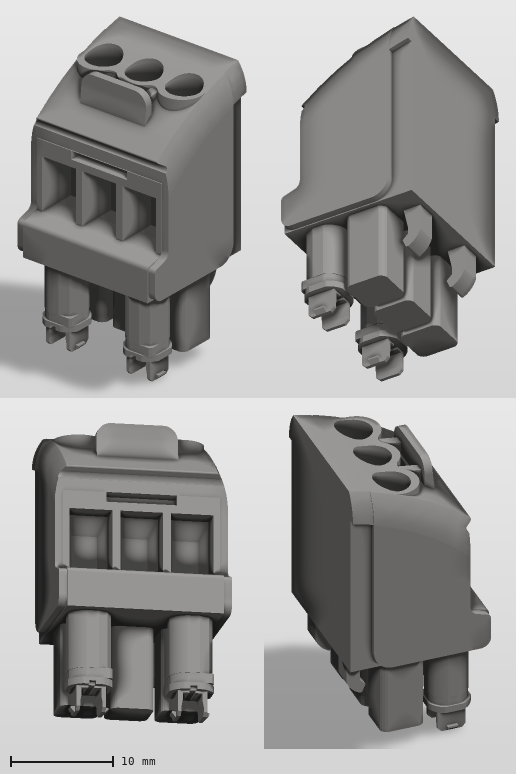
import cadquery as cq
import math


WIDTH = 17.15
HALF_WIDTH = WIDTH / 2
POLE_PITCH = 5.0
POLES = (-POLE_PITCH, 0, POLE_PITCH)
OUTER_POLES = (-POLE_PITCH, POLE_PITCH)
TOP_Z = 20.67
LOWEST_Z = -9.9

FRONT_DEPTH = 14.5
FACE_DEPTH = 12.25
CROWN_RADIUS = 29.23
LIP_DEPTH = 12.65
LIP_Z = 14.7
LIP_NOSE = ((12.72, 14.6), (12.63, 14.45))
GROOVE_START = (12.1, 14.15)
GROOVE_MIDDLE = (12.0, 13.88)
FACE_TOP_Z = 13.45
HOLLOW_TOP_Z = 5.08
HOLLOW = ((12.4, 4.6), (12.75, 4.25))
INSERT_HALF_WIDTH = 7.77
STEP = 0.107
CAP_HALF_WIDTH = HALF_WIDTH - STEP
CAP_BACK_DEPTH = 3.05
SIDE_BACK_DEPTH = 2.17
SIDE_BACK_RADIUS = 2.0
SIDE_FRONT_RADIUS = 1.07
SHOULDER_TOP_HALF_WIDTH = 7.5
SHOULDER_HEIGHT = 3.1

PANEL_TOP_Z = 12.23
PANEL_DEPTH = FACE_DEPTH + STEP
LEDGE_BACK_Z = 4.35
LEDGE_FRONT_Z = 3.95
LEDGE_ROUND_LENGTH = 0.37
LEDGE_ROUND_DROP = 0.5
LEDGE_ROUND_MIDDLE = (0.1, 0.18)
ENTRY_MOUTH = (4.22, LEDGE_BACK_Z, 10.43)
ENTRY_THROAT = (2.55, 5.05, 8.6)
ENTRY_STRAIGHT_LENGTH = 2.5
ENTRY_TAPER_LENGTH = 0.92
SLOT_HALF_WIDTH = 3.5
SLOT_BOTTOM_Z = 11.25
SLOT_CEILING_DROP = 0.2
SLOT_LENGTH = 1.07

WELL_DEPTH = 5.38
WELL_RADIUS = 1.9
WELL_FLOOR_Z = 16.88
RIM_Z = 19.08
RIM_DEPTH = 5.72
RIM_RADIUS = 2.42
RIM_VALLEY_RADIUS = 0.92
RIM_ROOT_Z = 15.9
BLEND_START_DEPTH = 4.85
BLEND_END_DEPTH = 5.93

LEVER_HALF_WIDTH = 4.05
LEVER_BACK_DEPTH = 9.25
LEVER_FRONT_DEPTH = 10.1
LEVER_FOOT_DEPTH = 10.45
LEVER_TOP_Z = 19.85
LEVER_BEND_TOP_Z = 18.65
LEVER_BEND_BOTTOM_Z = 18.05
LEVER_CORNER_RADIUS = 1.47
LEVER_ROOT_Z = 15.3
ARM_INNER_X = 2.17
ARM_OUTER_X = 3.15
ARM_BACK_DEPTH = 6.73
ARM_BACK_Z = 18.85
ARM_FRONT_Z = 18.47
POCKET_HALF_WIDTH = 2.05
POCKET_FRONT_DEPTH = 8.87
POCKET_BACK_DEPTH = 7.03
POCKET_FLOOR_Z = 16.05

BLOCK_WIDTH = 4.25
BLOCK_BACK_DEPTH = 3.58
BLOCK_FRONT_DEPTH = 8.07
BLOCK_BOTTOM_Z = -8.25
BLOCK_CORNER = ((0, 0.58), (0.12, 0.35), (0.35, 0.12), (0.58, 0))

PIN_DEPTH = 11.1
PIN_SECTIONS = (
    (2.1, 0.6, 0.0, -5.75, [(1.6, 1.6)]),
    (2.05, 0.6, -5.75, -6.73, [(1.8, 2.05), (2.05, 1.8)]),
    (2.2, 0.95, -6.73, -7.43, [(1.15, 2.1), (1.68, 1.75), (2.05, 1.3)]),
)
PRONG_TOP_Z = -7.43
PRONG_OUTER_X = 1.47
PRONG_INNER_X = 0.98
PRONG_TIP_INNER_X = 1.1
PRONG_HALF_LENGTH = 1.47
PRONG_CORNER = 0.4
PRONG_SLOT_HALF_WIDTH = 0.3
PRONG_WEB = 0.2
PRONG_TAPER_START_Z = -8.4
PRONG_TAPER_END_Z = -9.02
BARB_X = 1.87
BARB_TOP_Z = -9.33
BARB_EDGE_Z = -9.5
BARB_HALF_LENGTH = 0.55
COLLAR_NOTCH_HALF_WIDTH = 0.35
COLLAR_NOTCH_HEIGHT = 0.35
COLLAR_NOTCH_LENGTH = 0.6

HOOK_X = 4.1
HOOK_HALF_WIDTH = 1.07
HOOK_BACK_DEPTH = 0.6
HOOK_HEEL_Z = -2.8
HOOK_HEEL = ((1.05, -3.6), (1.9, -4.3))
HOOK_TIP = ((2.08, -4.37), (2.25, -4.3))
HOOK_BARB = (2.63, -3.5)
HOOK_THROAT_DEPTH = 2.02
HOOK_THROAT_Z = (-2.9, -2.15)
HOOK_FRONT_DEPTH = 2.5

chord_length = math.hypot(LIP_DEPTH, TOP_Z - LIP_Z)
chord_slope = math.atan2(TOP_Z - LIP_Z, LIP_DEPTH)
back_slope = chord_slope - math.asin(chord_length / 2 / CROWN_RADIUS)
crown_depth = -CROWN_RADIUS * math.sin(back_slope)
crown_z = TOP_Z - CROWN_RADIUS * math.cos(back_slope)


def crown_height(depth):
    """Height of the crown surface at a given depth."""
    return crown_z + math.sqrt(CROWN_RADIUS**2 - (depth - crown_depth) ** 2)


def side_plane(x=0.0):
    """Sketch plane across X whose axes are depth and height."""
    return cq.Workplane(cq.Plane((x, 0, 0), xDir=(0, -1, 0), normal=(-1, 0, 0)))


def front_plane(depth):
    """Sketch plane facing forward whose axes are X and height."""
    return cq.Workplane("XZ", origin=(0, -depth, 0))


def box(x_range, depth_range, z_range):
    """Block between the given limits."""
    size_x = x_range[1] - x_range[0]
    size_y = depth_range[1] - depth_range[0]
    size_z = z_range[1] - z_range[0]
    corner = (x_range[0], -depth_range[1], z_range[0])
    return cq.Workplane("XY", origin=corner).box(size_x, size_y, size_z, centered=False)


def crowned_profile(half_width, back, bottom, front):
    """Side outline with the crown, the lip and the set-back foot ledge."""
    middle = LIP_DEPTH / 2
    ledge_front_z = LEDGE_FRONT_Z - STEP
    return (
        side_plane()
        .moveTo(back, bottom)
        .lineTo(back, crown_height(back))
        .threePointArc((middle, crown_height(middle)), (LIP_DEPTH, LIP_Z))
        .threePointArc(*LIP_NOSE)
        .lineTo(*GROOVE_START)
        .threePointArc(GROOVE_MIDDLE, (FACE_DEPTH, FACE_TOP_Z))
        .lineTo(FACE_DEPTH, HOLLOW_TOP_Z)
        .threePointArc(*HOLLOW)
        .lineTo(front - LEDGE_ROUND_LENGTH, ledge_front_z)
        .threePointArc(
            (front - LEDGE_ROUND_MIDDLE[0], ledge_front_z - LEDGE_ROUND_MIDDLE[1]),
            (front, ledge_front_z - LEDGE_ROUND_DROP),
        )
        .lineTo(front, bottom)
        .close()
        .extrude(half_width, both=True)
    )


def make_housing():
    side_front = FRONT_DEPTH - STEP
    core = crowned_profile(INSERT_HALF_WIDTH, 0, 0, side_front)
    sides = crowned_profile(HALF_WIDTH, SIDE_BACK_DEPTH, STEP, side_front)
    sides = sides.faces("<Z").edges(">Y").fillet(SIDE_BACK_RADIUS)
    sides = sides.faces("<Z").edges("<Y").fillet(SIDE_FRONT_RADIUS)
    back = core.union(make_cap()).intersect(make_shoulder_envelope(STEP))
    front = sides.union(make_insert_front()).intersect(make_shoulder_envelope(0))
    return back.union(front).cut(make_ledge_clearance())


def make_cap():
    """Wide band under the crown along the back, reaching down as far as the shoulders."""
    slab = box((-CAP_HALF_WIDTH, CAP_HALF_WIDTH), (0, CAP_BACK_DEPTH), (0, TOP_Z))
    crown_core = (
        side_plane()
        .center(crown_depth, crown_z)
        .circle(CROWN_RADIUS - SHOULDER_HEIGHT)
        .extrude(HALF_WIDTH, both=True)
    )
    crowned = crowned_profile(CAP_HALF_WIDTH, 0, 0, FRONT_DEPTH)
    return slab.cut(crown_core).intersect(crowned)


def make_insert_front():
    """Front panel and foot ledge, standing slightly proud of the side walls."""
    inside = PANEL_DEPTH - SLOT_LENGTH
    return (
        side_plane()
        .moveTo(inside, 0)
        .lineTo(inside, PANEL_TOP_Z)
        .lineTo(PANEL_DEPTH, PANEL_TOP_Z)
        .lineTo(PANEL_DEPTH, LEDGE_BACK_Z)
        .lineTo(FRONT_DEPTH - LEDGE_ROUND_LENGTH, LEDGE_FRONT_Z)
        .threePointArc(
            (FRONT_DEPTH - LEDGE_ROUND_MIDDLE[0], LEDGE_FRONT_Z - LEDGE_ROUND_MIDDLE[1]),
            (FRONT_DEPTH, LEDGE_FRONT_Z - LEDGE_ROUND_DROP),
        )
        .lineTo(FRONT_DEPTH, 0)
        .close()
        .extrude(INSERT_HALF_WIDTH, both=True)
    )


def make_ledge_clearance():
    """Open space over the foot ledge, in front of the panel."""
    return (
        side_plane()
        .moveTo(PANEL_DEPTH, LEDGE_BACK_Z)
        .lineTo(PANEL_DEPTH, PANEL_TOP_Z)
        .lineTo(FRONT_DEPTH, PANEL_TOP_Z)
        .lineTo(FRONT_DEPTH - LEDGE_ROUND_LENGTH, LEDGE_FRONT_Z)
        .close()
        .extrude(INSERT_HALF_WIDTH, both=True)
    )


def make_shoulder_envelope(inset):
    """Barrel around the crown centre whose rims round off both shoulders."""
    side_x = HALF_WIDTH - inset
    top_x = SHOULDER_TOP_HALF_WIDTH - inset
    crest = crown_z + CROWN_RADIUS
    drop = side_x - top_x
    arc_radius = (drop**2 + SHOULDER_HEIGHT**2) / (2 * drop)
    half_angle = math.asin(SHOULDER_HEIGHT / arc_radius) / 2
    mid_x = side_x - arc_radius * (1 - math.cos(half_angle))
    mid_z = crest - SHOULDER_HEIGHT + arc_radius * math.sin(half_angle)
    return (
        front_plane(crown_depth)
        .moveTo(-side_x, crown_z)
        .lineTo(-side_x, crest - SHOULDER_HEIGHT)
        .threePointArc((-mid_x, mid_z), (-top_x, crest))
        .lineTo(top_x, crest)
        .threePointArc((mid_x, mid_z), (side_x, crest - SHOULDER_HEIGHT))
        .lineTo(side_x, crown_z)
        .close()
        .revolve(360, (0, crown_z, 0), (1, crown_z, 0))
    )


def make_wire_entry(x):
    """Straight rectangular wire entry ending in a tapered funnel."""
    mouth_width, mouth_bottom, mouth_top = ENTRY_MOUTH
    throat_width, throat_bottom, throat_top = ENTRY_THROAT
    mouth_z = (mouth_bottom + mouth_top) / 2
    throat_z = (throat_bottom + throat_top) / 2
    funnel_depth = PANEL_DEPTH - ENTRY_STRAIGHT_LENGTH
    straight = box(
        (x - mouth_width / 2, x + mouth_width / 2),
        (funnel_depth, PANEL_DEPTH),
        (mouth_bottom, mouth_top),
    )
    funnel = (
        front_plane(funnel_depth)
        .center(x, mouth_z)
        .rect(mouth_width, mouth_top - mouth_bottom)
        .workplane(offset=-ENTRY_TAPER_LENGTH)
        .center(0, throat_z - mouth_z)
        .rect(throat_width, throat_top - throat_bottom)
        .loft(ruled=True)
    )
    return straight.union(funnel)


def make_marker_slot():
    back = PANEL_DEPTH - SLOT_LENGTH
    return (
        side_plane()
        .polyline(
            [
                (PANEL_DEPTH, SLOT_BOTTOM_Z),
                (PANEL_DEPTH, PANEL_TOP_Z),
                (back, PANEL_TOP_Z - SLOT_CEILING_DROP),
                (back, SLOT_BOTTOM_Z),
            ]
        )
        .close()
        .extrude(SLOT_HALF_WIDTH, both=True)
    )


def vertical_cylinder(x, depth, radius, z_range):
    base = cq.Workplane("XY", origin=(x, -depth, z_range[0]))
    return base.circle(radius).extrude(z_range[1] - z_range[0])


def make_rims():
    """Scalloped rim around the front of the screw wells, with rounded valleys."""
    heights = (RIM_ROOT_Z, RIM_Z)
    reach = RIM_RADIUS + RIM_VALLEY_RADIUS
    valley_x = POLE_PITCH / 2
    valley_offset = math.sqrt(reach**2 - valley_x**2)
    touch_depth = RIM_DEPTH + RIM_RADIUS * valley_offset / reach
    rims = box((-POLE_PITCH, POLE_PITCH), (RIM_DEPTH, touch_depth), heights)
    for x in (-valley_x, valley_x):
        rims = rims.cut(vertical_cylinder(x, RIM_DEPTH + valley_offset, RIM_VALLEY_RADIUS, heights))
    for x in POLES:
        rims = rims.union(vertical_cylinder(x, RIM_DEPTH, RIM_RADIUS, heights))
    return rims


def make_rim_blend():
    """Concave strip that eases the crown into the flat rim."""
    start_z = crown_height(BLEND_START_DEPTH)
    middle_depth = (BLEND_START_DEPTH + BLEND_END_DEPTH) / 2
    middle_z = RIM_Z + (start_z - RIM_Z) / 4
    return (
        side_plane()
        .moveTo(BLEND_START_DEPTH, RIM_ROOT_Z)
        .lineTo(BLEND_START_DEPTH, start_z)
        .threePointArc((middle_depth, middle_z), (BLEND_END_DEPTH, RIM_Z))
        .lineTo(BLEND_END_DEPTH, RIM_ROOT_Z)
        .close()
        .extrude(POLE_PITCH + RIM_RADIUS, both=True)
    )


def make_lever():
    """Finger plate with rounded top corners and a foot that flares forward."""
    bend_z = (LEVER_BEND_TOP_Z + LEVER_BEND_BOTTOM_Z) / 2
    flare = (LEVER_FOOT_DEPTH - LEVER_FRONT_DEPTH) / (bend_z - LEVER_ROOT_Z)
    bend_offset = flare * (bend_z - LEVER_BEND_BOTTOM_Z)
    plate = (
        side_plane()
        .moveTo(LEVER_BACK_DEPTH, LEVER_ROOT_Z)
        .lineTo(LEVER_BACK_DEPTH, LEVER_TOP_Z)
        .lineTo(LEVER_FRONT_DEPTH, LEVER_TOP_Z)
        .lineTo(LEVER_FRONT_DEPTH, LEVER_BEND_TOP_Z)
        .threePointArc(
            (LEVER_FRONT_DEPTH + bend_offset / 4, bend_z),
            (LEVER_FRONT_DEPTH + bend_offset, LEVER_BEND_BOTTOM_Z),
        )
        .lineTo(LEVER_FOOT_DEPTH, LEVER_ROOT_Z)
        .close()
        .extrude(LEVER_HALF_WIDTH, both=True)
    )
    return plate.faces(">Z").edges("|Y").fillet(LEVER_CORNER_RADIUS)


def make_lever_arm(side):
    """Arm joining the lever to the rim on one side."""
    return (
        side_plane(side * (ARM_INNER_X + ARM_OUTER_X) / 2)
        .polyline(
            [
                (ARM_BACK_DEPTH, LEVER_ROOT_Z),
                (ARM_BACK_DEPTH, ARM_BACK_Z),
                (LEVER_BACK_DEPTH, ARM_FRONT_Z),
                (LEVER_BACK_DEPTH, LEVER_ROOT_Z),
            ]
        )
        .close()
        .extrude((ARM_OUTER_X - ARM_INNER_X) / 2, both=True)
    )


def make_lever_pocket():
    """Pocket behind the lever with a floor that falls toward the front."""
    return (
        side_plane()
        .polyline(
            [
                (POCKET_BACK_DEPTH, crown_height(POCKET_BACK_DEPTH)),
                (POCKET_FRONT_DEPTH, TOP_Z),
                (POCKET_FRONT_DEPTH, POCKET_FLOOR_Z),
            ]
        )
        .close()
        .extrude(POCKET_HALF_WIDTH, both=True)
    )


def make_contact_block(x):
    half_width = BLOCK_WIDTH / 2
    half_depth = (BLOCK_FRONT_DEPTH - BLOCK_BACK_DEPTH) / 2
    corner = [(half_width - u, half_depth - v) for u, v in BLOCK_CORNER]
    half_outline = [(u, -v) for u, v in reversed(corner)] + corner
    outline = half_outline + [(-u, -v) for u, v in half_outline]
    return (
        cq.Workplane("XY", origin=(x, -BLOCK_BACK_DEPTH - half_depth, BLOCK_BOTTOM_Z))
        .polyline(outline)
        .close()
        .extrude(-BLOCK_BOTTOM_Z)
    )


def make_pin_section(x, half_width, half_flat, top, bottom, corner_points):
    """Round section with four flats and one faceted corner at its front right."""
    diagonal = math.hypot(half_width, half_flat) * math.sqrt(0.5)
    corner_points = [(u, -v) for u, v in corner_points]
    return (
        cq.Workplane("XY", origin=(x, -PIN_DEPTH, bottom))
        .moveTo(-half_flat, -half_width)
        .lineTo(half_flat, -half_width)
        .polyline(corner_points, includeCurrent=True)
        .lineTo(half_width, -half_flat)
        .lineTo(half_width, half_flat)
        .threePointArc((diagonal, diagonal), (half_flat, half_width))
        .lineTo(-half_flat, half_width)
        .threePointArc((-diagonal, diagonal), (-half_width, half_flat))
        .lineTo(-half_width, -half_flat)
        .threePointArc((-diagonal, -diagonal), (-half_flat, -half_width))
        .close()
        .extrude(top - bottom)
    )


def make_prong(x, side):
    """Springy prong with a top web reaching inward and a barb at its tip."""

    def outline(points):
        return front_plane(PIN_DEPTH).polyline([(x + side * u, z) for u, z in points]).close()

    web_z = PRONG_TOP_Z - PRONG_WEB
    prong = outline(
        [
            (PRONG_OUTER_X, PRONG_TOP_Z),
            (PRONG_OUTER_X, LOWEST_Z),
            (PRONG_TIP_INNER_X, LOWEST_Z),
            (PRONG_TIP_INNER_X, PRONG_TAPER_END_Z),
            (PRONG_INNER_X, PRONG_TAPER_START_Z),
            (PRONG_INNER_X, web_z),
            (PRONG_SLOT_HALF_WIDTH, web_z),
            (PRONG_SLOT_HALF_WIDTH, PRONG_TOP_Z),
        ]
    ).extrude(PRONG_HALF_LENGTH, both=True)
    prong = prong.faces("<Z").edges("|X").chamfer(PRONG_CORNER)
    barb = outline(
        [
            (PRONG_OUTER_X, BARB_TOP_Z),
            (BARB_X, BARB_TOP_Z),
            (BARB_X, BARB_EDGE_Z),
            (PRONG_OUTER_X, LOWEST_Z),
        ]
    ).extrude(BARB_HALF_LENGTH, both=True)
    return prong.union(barb)


def make_locking_pin(x):
    pin = make_pin_section(x, *PIN_SECTIONS[0])
    for section in PIN_SECTIONS[1:]:
        pin = pin.union(make_pin_section(x, *section))
    collar_half_width = PIN_SECTIONS[-1][0]
    notch = box(
        (x - COLLAR_NOTCH_HALF_WIDTH, x + COLLAR_NOTCH_HALF_WIDTH),
        (PIN_DEPTH + collar_half_width - COLLAR_NOTCH_LENGTH, PIN_DEPTH + collar_half_width),
        (PRONG_TOP_Z, PRONG_TOP_Z + COLLAR_NOTCH_HEIGHT),
    )
    pin = pin.cut(notch)
    for side in (-1, 1):
        pin = pin.union(make_prong(x, side))
    return pin


def make_latch_hook(x):
    """Hook hanging from the underside near the back face."""
    return (
        side_plane(x)
        .moveTo(HOOK_BACK_DEPTH, 0)
        .lineTo(HOOK_BACK_DEPTH, HOOK_HEEL_Z)
        .threePointArc(*HOOK_HEEL)
        .threePointArc(*HOOK_TIP)
        .lineTo(*HOOK_BARB)
        .lineTo(HOOK_THROAT_DEPTH, HOOK_THROAT_Z[0])
        .lineTo(HOOK_THROAT_DEPTH, HOOK_THROAT_Z[1])
        .lineTo(HOOK_FRONT_DEPTH, 0)
        .close()
        .extrude(HOOK_HALF_WIDTH, both=True)
    )


result = make_housing()
result = result.cut(make_marker_slot())
for pole_x in POLES:
    result = result.cut(make_wire_entry(pole_x))

result = result.cut(make_lever_pocket())
result = result.union(make_rims()).union(make_rim_blend()).union(make_lever())
for arm_side in (-1, 1):
    result = result.union(make_lever_arm(arm_side))
for pole_x in POLES:
    result = result.cut(vertical_cylinder(pole_x, WELL_DEPTH, WELL_RADIUS, (WELL_FLOOR_Z, TOP_Z)))

for pole_x in POLES:
    result = result.union(make_contact_block(pole_x))
for pole_x in OUTER_POLES:
    result = result.union(make_locking_pin(pole_x))
for hook_x in (-HOOK_X, HOOK_X):
    result = result.union(make_latch_hook(hook_x))